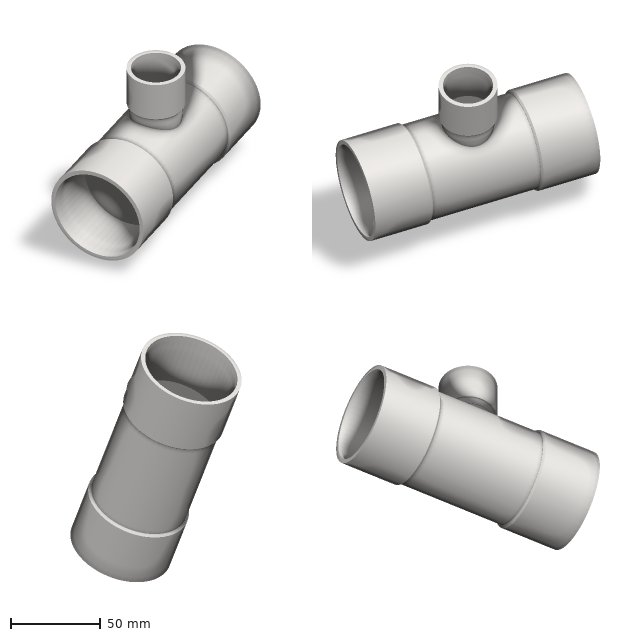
import cadquery as cq

run_length = 136.0
body_diameter = 56.0
run_socket_diameter = 59.0
run_bore_diameter = 54.0
run_bore_depth = 34.0
run_socket_length = 35.5
run_chamfer = 1.2

branch_top = 59.0
branch_socket_diameter = 33.0
branch_bore_diameter = 28.0
branch_bore_depth = 23.8
branch_socket_length = 25.0
branch_chamfer_height = 1.2
branch_chamfer_width = 0.8
neck_diameter = 30.0
neck_bottom = 29.0
root_diameter = 29.5


def make_body():
    return cq.Workplane("XZ").circle(body_diameter / 2).extrude(run_length / 2, both=True)


def end_plane(side):
    """Workplane on one end of the run (side is -1 or 1), facing its middle."""
    return cq.Workplane(cq.Plane(origin=(0, side * run_length / 2, 0), xDir=(1, 0, 0), normal=(0, -side, 0)))


def make_run_socket(side):
    """Outer sleeve of one run socket, chamfered on its inner end."""
    sleeve = end_plane(side).circle(run_socket_diameter / 2).extrude(run_socket_length)
    return sleeve.faces("<Y" if side > 0 else ">Y").chamfer(run_chamfer)


def make_run_bore(side):
    return end_plane(side).circle(run_bore_diameter / 2).extrude(run_bore_depth)


def make_branch():
    """Revolved outline of root, neck and chamfered socket, starting at the run axis."""
    root_radius = root_diameter / 2
    neck_radius = neck_diameter / 2
    socket_radius = branch_socket_diameter / 2
    socket_bottom = branch_top - branch_socket_length
    return (
        cq.Workplane("XZ")
        .lineTo(root_radius, 0)
        .lineTo(root_radius, neck_bottom)
        .lineTo(neck_radius, neck_bottom)
        .lineTo(neck_radius, socket_bottom)
        .lineTo(socket_radius - branch_chamfer_width, socket_bottom)
        .lineTo(socket_radius, socket_bottom + branch_chamfer_height)
        .lineTo(socket_radius, branch_top)
        .lineTo(0, branch_top)
        .close()
        .revolve(360, (0, 0, 0), (0, 1, 0))
    )


def make_branch_bore():
    top_plane = cq.Workplane("XY", origin=(0, 0, branch_top))
    return top_plane.circle(branch_bore_diameter / 2).extrude(-branch_bore_depth)


result = make_body().union(make_branch())
for end_side in (-1, 1):
    result = result.union(make_run_socket(end_side))
    result = result.cut(make_run_bore(end_side))
result = result.cut(make_branch_bore())